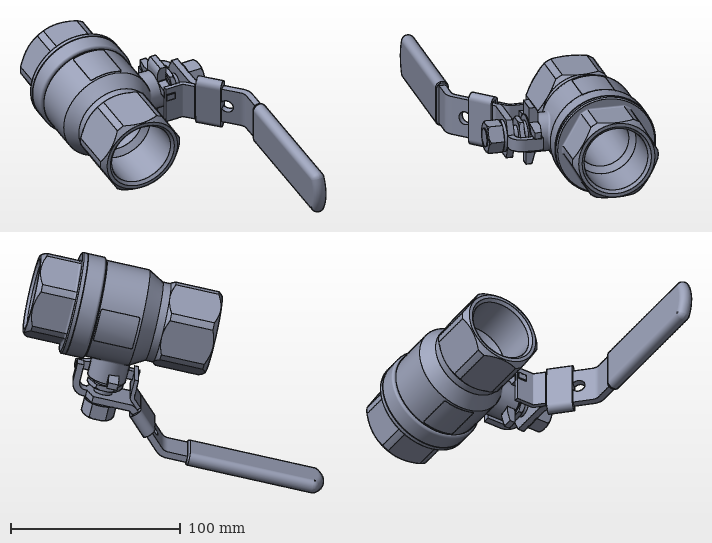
import cadquery as cq
import math


BODY_HALF_LENGTH = 55.0
HEX_FLATS = 47.5
HEX_CORNER_RADIUS = 26.2
HEX_BEVEL = 2.9
NECK_RADIUS = HEX_FLATS / 2
RIGHT_HEX_START = 23.7
CAP_FILLET = 1.0

RING_RADIUS = 61.0 / 2
RING_LEFT = -31.4
RING_RIGHT = -16.8
RING_EDGE = 0.8
RING_FILLET = 1.5
JOINT_X = -28.1
JOINT_WIDTH = 0.3
JOINT_DEPTH = 0.25
RING_GROOVE_DEPTH = 0.4

SHELL_RADIUS = 58.0 / 2
SHELL_LEFT = -16.2
SHELL_RIGHT = 9.7
NECK_START = 19.0

BORE_RADIUS = 32.0 / 2
THREAD_RADIUS = 38.95 / 2
THREAD_DEPTH = 28.0
THREAD_CHAMFER = 1.7

PLAQUE_LENGTH = 23.6
PLAQUE_WIDTH = 20.4
PLAQUE_CENTER_X = -3.6
PLAQUE_CORNER = 1.0
PLAQUE_RAISE = 0.15

SELECT_MARGIN = 0.1

BONNET_RADIUS = 23.0 / 2
BONNET_TOP = 41.0
BONNET_FILLET = 1.2
STOP_BOTTOM = 34.9
STOP_TOP = 40.4
ARM_LEFT = -7.0
ARM_DOWN_LEFT = 0.0
ARM_RIGHT = 6.2
ARM_UP_REACH = 18.7
ARM_DOWN_REACH = -19.8
ARM_TIP_THICKNESS = 3.6
ARM_UP_TAPER_START = 14.4
ARM_DOWN_TAPER_START = -13.0
ARM_BULGE_Y = 0.55
ARM_BULGE_Z = 2.0
RAIL_LEFT = -19.7
RAIL_RIGHT = 18.7
RAIL_LOW_Z = 3.75
RAIL_TIP_Z = 7.8
RAIL_ROOT_Z = 9.5
RAIL_TIP_THICKNESS = 3.9
RAIL_TAPER_LENGTH = 8.0

GLAND_RADIUS = 15.88 / 2
GLAND_TOP = 44.0
LOCK_NUT_FLATS = 18.6
LOCK_NUT_BOTTOM = 43.4
LOCK_NUT_TOP = 46.4
STEM_RADIUS = 11.0 / 2
STEM_TOP = 65.9
WASHER_RADIUS = 19.0 / 2
WASHER_TOP = 56.1
NUT_FLATS = 17.0
NUT_TOP = 65.3
NUT_CHAMFER = 1.0

LEVER_THICKNESS = 4.0
LEVER_WIDTH = 24.0
LEVER_LOW_Y = 52.2
TAIL_X = -17.0
TAIL_END_Y = 35.0
TAIL_WIDTH = 7.5
TAIL_BEND = 6.0
SHOULDER_LEFT = -9.7
SHOULDER_RIGHT = -5.8
RAMP_START_X = 18.2
RAMP_ANGLE = 45.0
RAMP_BEND = 7.5
RAMP_FOOT_BEND = 4.0
LOCK_HOLE_RADIUS = 8.04 / 2
LOCK_HOLE_DISTANCE = 21.7

GRIP_START = 57.0
LEVER_OVERLAP = 1.0
GRIP_END = 139.91
GRIP_WIDTH = 28.0
GRIP_THICKNESS = 8.0
GRIP_TOP_Y = 79.92
GRIP_END_RADIUS = 25.0
GRIP_CORNER = 4.0
GRIP_ROUND = 3.95
GRIP_CHAMFER_DEPTH = 0.4
GRIP_CHAMFER_LENGTH = 1.2
LEVER_HIGH_Y = GRIP_TOP_Y - GRIP_THICKNESS / 2

SLEEVE_WIDTH = 32.6
SLEEVE_THICKNESS = 7.9
SLEEVE_OFFSET = 0.35
SLEEVE_START = 3.1
SLEEVE_LENGTH = 15.4
SLEEVE_SLOT_WIDTH = 27.5
SLEEVE_SLOT_THICKNESS = LEVER_THICKNESS
SLEEVE_SLOT_DEPTH = 2.0
TONGUE_LEFT = 15.5
TONGUE_THICKNESS = 2.4
TONGUE_BOTTOM = 34.4
TONGUE_BEND = 3.0


def across_corners(flats):
    return flats / math.cos(math.pi / 6)


def cylinder_along_x(radius, start, end):
    return cq.Workplane("YZ", origin=(start, 0, 0)).circle(radius).extrude(end - start)


def disc_along_y(radius, bottom, top):
    return cq.Workplane("XZ", origin=(0, bottom, 0)).circle(radius).extrude(bottom - top)


def hexagon_along_y(flats, bottom, top):
    corner_diameter = across_corners(flats)
    return cq.Workplane("XZ", origin=(0, bottom, 0)).polygon(6, corner_diameter).extrude(bottom - top)


def revolve_x(points):
    return cq.Workplane("XY").polyline(points).close().revolve(360, (0, 0, 0), (1, 0, 0))


def pipe_hex(start, end, start_bevel, end_bevel):
    """Hexagon with corners on Y, turned down at its corners and bevelled at its ends."""
    corner_diameter = across_corners(HEX_FLATS)
    hexagon = cq.Workplane("YZ", origin=(start, 0, 0)).polygon(6, corner_diameter).extrude(end - start)
    turned = cylinder_along_x(HEX_CORNER_RADIUS, start, end)
    if start_bevel > 0:
        turned = turned.faces("<X").chamfer(start_bevel)
    if end_bevel > 0:
        turned = turned.faces(">X").chamfer(end_bevel)
    return hexagon.intersect(turned)


def shell():
    """Joint ring, middle shell, cone and neck as one turned profile."""
    profile = (
        cq.Workplane("XY")
        .moveTo(RING_LEFT, 0)
        .lineTo(RING_LEFT, RING_RADIUS - RING_EDGE)
        .lineTo(RING_LEFT + RING_EDGE, RING_RADIUS)
        .lineTo(JOINT_X - JOINT_WIDTH / 2, RING_RADIUS)
        .lineTo(JOINT_X, RING_RADIUS - JOINT_DEPTH)
        .lineTo(JOINT_X + JOINT_WIDTH / 2, RING_RADIUS)
        .lineTo(RING_RIGHT - RING_FILLET, RING_RADIUS)
        .radiusArc((RING_RIGHT, RING_RADIUS - RING_FILLET), RING_FILLET)
        .lineTo(RING_RIGHT, SHELL_RADIUS - RING_GROOVE_DEPTH)
        .lineTo(SHELL_LEFT, SHELL_RADIUS)
        .lineTo(SHELL_RIGHT, SHELL_RADIUS)
        .lineTo(NECK_START, NECK_RADIUS)
        .lineTo(RIGHT_HEX_START, NECK_RADIUS)
        .lineTo(RIGHT_HEX_START, 0)
        .close()
    )
    return profile.revolve(360, (0, 0, 0), (1, 0, 0))


def pipe_body():
    """Shell with a hexagon at each end and the bonnet post, both joints rounded."""
    left_hex = pipe_hex(-BODY_HALF_LENGTH, RING_LEFT, HEX_BEVEL, 0)
    right_hex = pipe_hex(RIGHT_HEX_START, BODY_HALF_LENGTH, HEX_CORNER_RADIUS - NECK_RADIUS, HEX_BEVEL)
    body = shell().union(left_hex)
    reach = HEX_CORNER_RADIUS + CAP_FILLET
    hex_root = cq.selectors.BoxSelector(
        (RING_LEFT - SELECT_MARGIN, -reach, -reach),
        (RING_LEFT + SELECT_MARGIN, reach, reach),
        boundingbox=True,
    )
    body = body.edges(hex_root).fillet(CAP_FILLET)
    body = body.union(disc_along_y(BONNET_RADIUS, 0, BONNET_TOP))
    post_reach = BONNET_RADIUS + SELECT_MARGIN
    post_root = cq.selectors.BoxSelector(
        (-post_reach, NECK_RADIUS, -post_reach),
        (post_reach, RING_RADIUS, post_reach),
        boundingbox=True,
    )
    body = body.edges(post_root).fillet(BONNET_FILLET)
    return body.union(right_hex)


def plaques():
    """Label plates on the upper and lower side of the shell."""
    prism = (
        cq.Workplane("XY")
        .center(PLAQUE_CENTER_X, 0)
        .rect(PLAQUE_LENGTH, PLAQUE_WIDTH)
        .extrude(2 * SHELL_RADIUS, both=True)
        .edges("|Z")
        .fillet(PLAQUE_CORNER)
    )
    return prism.intersect(cylinder_along_x(SHELL_RADIUS + PLAQUE_RAISE, SHELL_LEFT, SHELL_RIGHT))


def bore():
    """Through bore with a threaded, chamfered mouth at each end."""
    cone_length = THREAD_RADIUS - BORE_RADIUS
    end = BODY_HALF_LENGTH
    half = revolve_x([
        (0, 0),
        (0, BORE_RADIUS),
        (end - THREAD_DEPTH - cone_length, BORE_RADIUS),
        (end - THREAD_DEPTH, THREAD_RADIUS),
        (end - THREAD_CHAMFER, THREAD_RADIUS),
        (end, THREAD_RADIUS + THREAD_CHAMFER),
        (end, 0),
    ])
    return half.union(half.mirror("YZ"))


def tapered_arm(left, reach, taper_z):
    """Stop arm along Z whose lower side rises towards the tip."""
    tip_y = STOP_TOP - ARM_TIP_THICKNESS
    arm = cq.Workplane("YZ", origin=(left, 0, 0)).moveTo(STOP_TOP, 0)
    arm = arm.lineTo(STOP_TOP, reach).lineTo(tip_y, reach)
    if reach > 0:
        arm = arm.threePointArc((STOP_BOTTOM + ARM_BULGE_Y, reach - ARM_BULGE_Z), (STOP_BOTTOM, taper_z))
    else:
        arm = arm.lineTo(STOP_BOTTOM, taper_z)
    return arm.lineTo(STOP_BOTTOM, 0).close().extrude(ARM_RIGHT - left)


def stop_rail():
    """Stop rail along X that the lever tail rests against."""
    tip_y = STOP_TOP - RAIL_TIP_THICKNESS
    side = (
        cq.Workplane("XY")
        .polyline([
            (RAIL_LEFT, STOP_TOP),
            (RAIL_LEFT, tip_y),
            (RAIL_LEFT + RAIL_TAPER_LENGTH, STOP_BOTTOM),
            (RAIL_RIGHT, STOP_BOTTOM),
            (RAIL_RIGHT, STOP_TOP),
        ])
        .close()
        .extrude(RAIL_ROOT_Z)
    )
    plan = (
        cq.Workplane("XZ")
        .polyline([
            (RAIL_LEFT, RAIL_LOW_Z),
            (RAIL_LEFT, RAIL_TIP_Z),
            (ARM_LEFT, RAIL_ROOT_Z),
            (ARM_RIGHT, RAIL_ROOT_Z),
            (RAIL_RIGHT, RAIL_TIP_Z),
            (RAIL_RIGHT, RAIL_LOW_Z),
        ])
        .close()
        .extrude(-STOP_TOP)
    )
    return side.intersect(plan)


def stops():
    """Stop arms and rail around the bonnet; together they limit the swing of the lever."""
    upper_arm = tapered_arm(ARM_LEFT, ARM_UP_REACH, ARM_UP_TAPER_START)
    lower_arm = tapered_arm(ARM_DOWN_LEFT, ARM_DOWN_REACH, ARM_DOWN_TAPER_START)
    return upper_arm.union(lower_arm).union(stop_rail())


def nut(flats, bottom, top):
    """Hexagon nut around the stem with its upper corners turned off."""
    hexagon = hexagon_along_y(flats, bottom, top)
    corner_radius = across_corners(flats) / 2
    turned = disc_along_y(corner_radius, bottom, top).faces(">Y").chamfer(NUT_CHAMFER)
    return hexagon.intersect(turned)


def stem():
    """Gland, stem, washer and nuts stacked above the bonnet."""
    return (
        disc_along_y(GLAND_RADIUS, BONNET_TOP, GLAND_TOP)
        .union(disc_along_y(STEM_RADIUS, BONNET_TOP, STEM_TOP))
        .union(disc_along_y(WASHER_RADIUS, LEVER_LOW_Y, WASHER_TOP))
        .union(nut(LOCK_NUT_FLATS, LOCK_NUT_BOTTOM, LOCK_NUT_TOP))
        .union(nut(NUT_FLATS, WASHER_TOP, NUT_TOP))
    )


def ramp_frame(distance):
    """Work plane across the ramp at a distance from its foot: local X is Z, the normal runs uphill."""
    angle = math.radians(RAMP_ANGLE)
    along = (math.cos(angle), math.sin(angle), 0)
    origin = (RAMP_START_X + distance * along[0], LEVER_LOW_Y + distance * along[1], 0)
    return cq.Workplane(cq.Plane(origin=origin, xDir=(0, 0, 1), normal=along))


def lever():
    """Flat bar bent down to a stop tail on the left and up to the grip on the right."""
    ramp_end_x = RAMP_START_X + (LEVER_HIGH_Y - LEVER_LOW_Y) / math.tan(math.radians(RAMP_ANGLE))
    bar_end_x = GRIP_START + LEVER_OVERLAP
    half = LEVER_THICKNESS / 2
    shift = half * math.tan(math.radians(RAMP_ANGLE / 2))
    bar = (
        cq.Workplane("XY")
        .polyline([
            (TAIL_X - half, TAIL_END_Y),
            (TAIL_X - half, LEVER_LOW_Y + half),
            (RAMP_START_X - shift, LEVER_LOW_Y + half),
            (ramp_end_x - shift, LEVER_HIGH_Y + half),
            (bar_end_x, LEVER_HIGH_Y + half),
            (bar_end_x, LEVER_HIGH_Y - half),
            (ramp_end_x + shift, LEVER_HIGH_Y - half),
            (RAMP_START_X + shift, LEVER_LOW_Y - half),
            (TAIL_X + half, LEVER_LOW_Y - half),
            (TAIL_X + half, TAIL_END_Y),
        ])
        .close()
        .extrude(LEVER_WIDTH / 2, both=True)
    )

    def corner(x, y):
        return cq.selectors.NearestToPointSelector((x, y, 0))

    bar = bar.edges(corner(TAIL_X - half, LEVER_LOW_Y + half)).fillet(TAIL_BEND + half)
    bar = bar.edges(corner(TAIL_X + half, LEVER_LOW_Y - half)).fillet(TAIL_BEND - half)
    bar = bar.edges(corner(ramp_end_x - shift, LEVER_HIGH_Y + half)).fillet(RAMP_BEND + half)
    bar = bar.edges(corner(ramp_end_x + shift, LEVER_HIGH_Y - half)).fillet(RAMP_BEND - half)
    bar = bar.edges(corner(RAMP_START_X - shift, LEVER_LOW_Y + half)).fillet(RAMP_FOOT_BEND - half)
    bar = bar.edges(corner(RAMP_START_X + shift, LEVER_LOW_Y - half)).fillet(RAMP_FOOT_BEND + half)

    tail = TAIL_WIDTH / 2
    wide = LEVER_WIDTH / 2
    plan = (
        cq.Workplane("XZ")
        .polyline([
            (TAIL_X - half, -tail),
            (SHOULDER_LEFT, -tail),
            (SHOULDER_RIGHT, -wide),
            (bar_end_x, -wide),
            (bar_end_x, wide),
            (SHOULDER_RIGHT, wide),
            (SHOULDER_LEFT, tail),
            (TAIL_X - half, tail),
        ])
        .close()
        .extrude(-GRIP_TOP_Y)
    )
    hole_start = ramp_frame(LOCK_HOLE_DISTANCE).transformed(
        offset=(0, -LEVER_THICKNESS, 0),
        rotate=(-90, 0, 0),
    )
    hole = hole_start.circle(LOCK_HOLE_RADIUS).extrude(2 * LEVER_THICKNESS)
    return bar.intersect(plan).cut(hole)


def grip():
    """Rounded sleeve grip with a bulged tip."""
    half = GRIP_WIDTH / 2
    corner_x = GRIP_END - GRIP_END_RADIUS + math.sqrt(GRIP_END_RADIUS ** 2 - half ** 2)
    body = (
        cq.Workplane("XZ", origin=(0, GRIP_TOP_Y, 0))
        .moveTo(GRIP_START, -half)
        .lineTo(corner_x, -half)
        .threePointArc((GRIP_END, 0), (corner_x, half))
        .lineTo(GRIP_START, half)
        .close()
        .extrude(GRIP_THICKNESS)
        .edges("|Y")
        .edges(">X")
        .fillet(GRIP_CORNER)
    )
    body = body.faces("<Y or >Y").edges("not(<X)").fillet(GRIP_ROUND)
    return body.faces("<X").chamfer(GRIP_CHAMFER_DEPTH, GRIP_CHAMFER_LENGTH)


def sleeve():
    """Locking sleeve of stadium section around the ramp, recessed at its lower mouth."""
    section = ramp_frame(SLEEVE_START).center(0, SLEEVE_OFFSET).slot2D(SLEEVE_WIDTH, SLEEVE_THICKNESS)
    body = section.extrude(SLEEVE_LENGTH)
    mouth = ramp_frame(SLEEVE_START).rect(SLEEVE_SLOT_WIDTH, SLEEVE_SLOT_THICKNESS).extrude(SLEEVE_SLOT_DEPTH)
    return body.cut(mouth)


def tongue():
    """Bent lock plate that runs from the sleeve along the ramp and down beside the stop rail."""
    ramp_offset = LEVER_THICKNESS / 2 / math.cos(math.radians(RAMP_ANGLE))
    slope = math.tan(math.radians(RAMP_ANGLE))
    shift = TONGUE_THICKNESS * math.tan(math.radians(RAMP_ANGLE / 2))
    right = TONGUE_LEFT + TONGUE_THICKNESS
    top_x = RAMP_START_X + SLEEVE_START

    def ramp_underside(x):
        return LEVER_LOW_Y + (x - RAMP_START_X) * slope - ramp_offset

    bend_y = ramp_underside(TONGUE_LEFT)
    top_y = ramp_underside(top_x)
    step = TONGUE_THICKNESS * math.sin(math.radians(RAMP_ANGLE))
    plate = (
        cq.Workplane("XY")
        .polyline([
            (TONGUE_LEFT, TONGUE_BOTTOM),
            (TONGUE_LEFT, bend_y),
            (top_x, top_y),
            (top_x + step, top_y - step),
            (right, bend_y - shift),
            (right, TONGUE_BOTTOM),
        ])
        .close()
        .extrude(LEVER_WIDTH / 2, both=True)
    )
    outer_edge = cq.selectors.NearestToPointSelector((TONGUE_LEFT, bend_y, 0))
    inner_edge = cq.selectors.NearestToPointSelector((right, bend_y - shift, 0))
    plate = plate.edges(outer_edge).fillet(TONGUE_BEND)
    return plate.edges(inner_edge).fillet(TONGUE_BEND - TONGUE_THICKNESS)


result = pipe_body().union(plaques()).union(stops())
result = result.cut(bore())
for piece in (stem(), lever(), grip(), sleeve(), tongue()):
    result = result.union(piece)